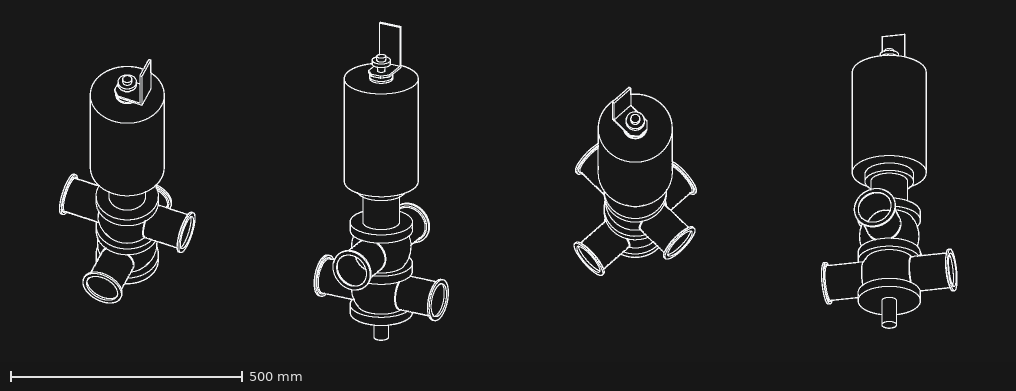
import cadquery as cq
import math

stem_diameter = 32.0
stem_length = 59.0
flange_diameter = 135.0
flange_thickness = 19.5
ball_diameter = 129.0
ball_seam_angle = 45
chamber_height = 78.5

port_span = 280.0
pipe_diameter = 76.0
bore_diameter = 72.5
ferrule_diameter = 91.0
ferrule_thickness = 4.0
ferrule_taper = 2.0

neck_diameter = 80.0
collar_diameter = 105.0
collar_thickness = 18.0
collar_gap = 3.5
actuator_diameter = 160.5
actuator_bottom = 371.0
actuator_height = 244.5

boss_diameter = 50.0
boss_height = 4.0
foot_height = 9.0
rod_diameter = 16.0
washer_diameter = 40.0
washer_bottom = 650.0
washer_thickness = 9.0
rod_head_diameter = 19.5
rod_head_height = 9.5

total_height = 726.0
plate_thickness = 5.0
bracket_reach = 45.0
bracket_chamfer = 14.0

lower_chamber = stem_length + flange_thickness
middle_flange = lower_chamber + chamber_height
upper_chamber = middle_flange + flange_thickness
top_flange = upper_chamber + chamber_height
neck_bottom = top_flange + flange_thickness
collar_bottom = actuator_bottom - collar_gap - collar_thickness
boss_bottom = actuator_bottom + actuator_height
foot_bottom = boss_bottom + boss_height
plate_bottom = foot_bottom + foot_height
rod_head_bottom = washer_bottom + washer_thickness


def disc(diameter, bottom, height):
    """Upright cylinder on the Z axis."""
    return cq.Workplane("XY").workplane(offset=bottom).circle(diameter / 2).extrude(height)


def make_port():
    """Solid pipe with a ferrule, running along +X from the origin."""
    end = port_span / 2
    rim_back = end - ferrule_thickness
    taper_start = rim_back - ferrule_taper
    return (
        cq.Workplane("XY")
        .moveTo(0, 0)
        .lineTo(end, 0)
        .lineTo(end, ferrule_diameter / 2)
        .lineTo(rim_back, ferrule_diameter / 2)
        .lineTo(rim_back, pipe_diameter / 2 + ferrule_taper)
        .lineTo(taper_start, pipe_diameter / 2)
        .lineTo(0, pipe_diameter / 2)
        .close()
        .revolve(360, (0, 0, 0), (1, 0, 0))
    )


def make_bore():
    """Space inside a port, from the surface of the ball to the port face."""
    ball_radius = ball_diameter / 2
    bore_radius = bore_diameter / 2
    bore_start = math.sqrt(ball_radius**2 - bore_radius**2)
    half_angle = math.asin(bore_radius / ball_radius) / 2
    arc_middle = (ball_radius * math.cos(half_angle), ball_radius * math.sin(half_angle))
    return (
        cq.Workplane("XY")
        .moveTo(ball_radius, 0)
        .lineTo(port_span / 2, 0)
        .lineTo(port_span / 2, bore_radius)
        .lineTo(bore_start, bore_radius)
        .threePointArc(arc_middle, (ball_radius, 0))
        .close()
        .revolve(360, (0, 0, 0), (1, 0, 0))
    )


def make_ball():
    """Ball cut flat at the flanges above and below it."""
    flat = chamber_height / 2
    flat_radius = math.sqrt((ball_diameter / 2) ** 2 - flat**2)
    return (
        cq.Workplane("XZ")
        .moveTo(0, -flat)
        .lineTo(flat_radius, -flat)
        .threePointArc((ball_diameter / 2, 0), (flat_radius, flat))
        .lineTo(0, flat)
        .close()
        .revolve(360, (0, 0, 0), (0, 1, 0))
        .rotate((0, 0, 0), (0, 0, 1), ball_seam_angle)
    )


def make_chamber(bottom, first_port_angle):
    """Ball with two opposite ports whose bores end on its surface."""
    chamber = make_ball()
    for angle in (first_port_angle, first_port_angle + 180):
        port = make_port().cut(make_bore())
        chamber = chamber.union(port.rotate((0, 0, 0), (0, 0, 1), angle))
    return chamber.translate((0, 0, bottom + chamber_height / 2))


def make_valve():
    valve = disc(stem_diameter, 0, stem_length)
    for bottom in (stem_length, middle_flange, top_flange):
        valve = valve.union(disc(flange_diameter, bottom, flange_thickness))
    valve = valve.union(make_chamber(lower_chamber, 90))
    valve = valve.union(make_chamber(upper_chamber, 0))
    valve = valve.union(disc(neck_diameter, neck_bottom, actuator_bottom - neck_bottom))
    valve = valve.union(disc(collar_diameter, collar_bottom, collar_thickness))
    valve = valve.union(disc(actuator_diameter, actuator_bottom, actuator_height))
    return valve.union(disc(boss_diameter, boss_bottom, boss_height))


def make_bracket():
    """L-shaped plate as wide as the boss."""
    left = -boss_diameter / 2
    upright_inside = bracket_reach - plate_thickness
    plate = (
        cq.Workplane("XZ")
        .moveTo(left, plate_bottom)
        .lineTo(bracket_reach, plate_bottom)
        .lineTo(bracket_reach, total_height)
        .lineTo(upright_inside, total_height)
        .lineTo(upright_inside, plate_bottom + plate_thickness)
        .lineTo(left, plate_bottom + plate_thickness)
        .close()
        .extrude(boss_diameter / 2, both=True)
    )
    return plate.faces("<X").edges("|Z").chamfer(bracket_chamfer)


def make_indicator():
    """Foot, bracket and rod with its washer and head, as one body."""
    indicator = disc(boss_diameter, foot_bottom, foot_height)
    indicator = indicator.union(make_bracket())
    indicator = indicator.union(disc(rod_diameter, plate_bottom, rod_head_bottom - plate_bottom))
    indicator = indicator.union(disc(washer_diameter, washer_bottom, washer_thickness))
    return indicator.union(disc(rod_head_diameter, rod_head_bottom, rod_head_height))


valve = make_valve()
indicator = make_indicator()

result = cq.Compound.makeCompound([valve.solids().val(), indicator.solids().val()])